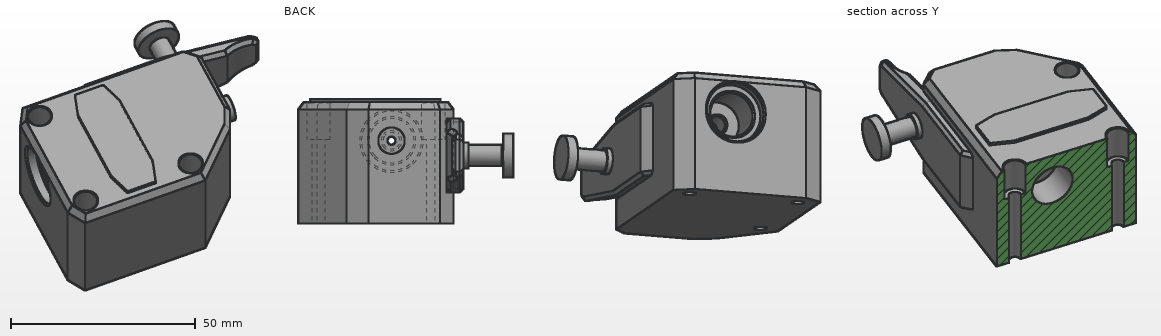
import cadquery as cq
import math


BEVEL_ANGLE = 45

body_width = 42.05
body_length = 54.05
body_height = 32.8
rim_inset = 1.5
rim_drop = 2.0
rear_left_bevel = 3.7
front_bevel_width = 5.1
front_bevel_length = 2.9
right_wall_end = 38.4
slant_rise = 13.1
rear_edge_end = 23.0

screw_margin = 5.5
screw_spacing = 31.0
screw_diameter = 3.5
screw_head_diameter = 6.25
screw_head_depth = 10.05
screw_head_bevel = 0.2

filament_x = 16.8
filament_z = 22.4
filament_diameter = 2.1
path_steps = [(16.15, 3.05), (12.1, 15.0), (4.5, 21.8)]
path_bevel = 0.5
outlet_diameter = 7.1
outlet_length = 2.9

plate_thickness = 0.8
plate_left = 3.5
plate_front = 14.9
plate_width = 35.3
plate_length = 12.3
plate_corner_width = 6.55
plate_corner_length = 2.0

lever_outer_x = -2.6
lever_inner_x = 2.0
lever_center_z = 18.4
lever_width = 20.1
lever_foot_y = 19.85
taper_start_y = 45.7
lever_tip_y = 72.75
lever_tip_width = 8.65
tip_corner = 1.45
taper_end_width = 11.6
outer_bevel = 1.0
inner_bevel = 1.2
grip_start_y = 62.6
grip_deepest_y = 69.1
grip_depth = 1.75

screw_axis_y = 49.0
screw_steps = [(7.1, -4.1), (5.8, -12.95), (3.2, -13.4), (12.0, -16.15)]


def make_housing():
    outline = [
        (front_bevel_width, 0),
        (body_width - front_bevel_width, 0),
        (body_width, front_bevel_length),
        (body_width, right_wall_end),
        (body_width - slant_rise, right_wall_end + slant_rise),
        (rear_edge_end, body_length),
        (rear_left_bevel, body_length),
        (0, body_length - rear_left_bevel),
        (0, front_bevel_length),
    ]
    block = cq.Workplane("XY").polyline(outline).close().extrude(body_height)
    return block.faces(">Z").chamfer(rim_drop, rim_inset)


def make_plate():
    right = plate_left + plate_width
    rear = plate_front + plate_length
    outline = [
        (plate_left + plate_corner_width, plate_front),
        (right - plate_corner_width, plate_front),
        (right, plate_front + plate_corner_length),
        (right, rear - plate_corner_length),
        (right - plate_corner_width, rear),
        (plate_left + plate_corner_width, rear),
        (plate_left, rear - plate_corner_length),
        (plate_left, plate_front + plate_corner_length),
    ]
    plane = cq.Workplane("XY").workplane(offset=body_height)
    return plane.polyline(outline).close().extrude(plate_thickness)


def cut_screw_holes(body):
    near = screw_margin
    far = screw_margin + screw_spacing
    mouth = screw_head_diameter + 2 * screw_head_bevel
    for x, y in [(near, near), (far, near), (far, far)]:
        top = cq.Workplane("XY", origin=(x, y, body_height))
        body = body.cut(top.circle(screw_diameter / 2).extrude(-body_height))
        body = body.cut(top.circle(screw_head_diameter / 2).extrude(-screw_head_depth))
        body = body.cut(top.circle(mouth / 2).extrude(-screw_head_bevel, taper=BEVEL_ANGLE))
    return body


def cut_filament_path(body):
    """Cut the stepped bore from the front, each step with a bevelled mouth, and the through hole."""
    start = 0
    for diameter, end in path_steps:
        front = cq.Workplane("XZ", origin=(filament_x, start, filament_z))
        body = body.cut(front.circle(diameter / 2).extrude(start - end))
        body = body.cut(front.circle(diameter / 2 + path_bevel).extrude(-path_bevel, taper=BEVEL_ANGLE))
        start = end
    front = cq.Workplane("XZ", origin=(filament_x, 0, filament_z))
    return body.cut(front.circle(filament_diameter / 2).extrude(-body_length - outlet_length))


def make_outlet():
    rear = cq.Workplane("XZ", origin=(filament_x, body_length, filament_z))
    return rear.circle(outlet_diameter / 2).extrude(-outlet_length)


def make_lever_pocket():
    """Open end of the lever pocket, cut into the rear left corner of the housing."""
    pocket = cq.Workplane("XY").box(
        lever_inner_x, body_length - taper_start_y, lever_width, centered=(False, False, True)
    )
    return pocket.translate((0, taper_start_y, lever_center_z))


def make_lever():
    half = lever_width / 2
    half_tip = lever_tip_width / 2
    half_taper_end = taper_end_width / 2
    corner_y = lever_tip_y - tip_corner
    foot_end_y = lever_foot_y - lever_inner_x
    thickness = lever_inner_x - lever_outer_x

    face = [
        (foot_end_y, -half),
        (taper_start_y, -half),
        (corner_y, -half_taper_end),
        (lever_tip_y, -half_tip),
        (lever_tip_y, half_tip),
        (corner_y, half_taper_end),
        (taper_start_y, half),
        (foot_end_y, half),
    ]
    plane = cq.Workplane("YZ", origin=(lever_outer_x, 0, lever_center_z))
    plate = plane.polyline(face).close().extrude(thickness)

    half_chord = grip_deepest_y - grip_start_y
    grip_radius = (half_chord**2 + grip_depth**2) / (2 * grip_depth)
    grip_center_x = lever_inner_x - grip_depth + grip_radius
    grip_end_x = grip_center_x - math.sqrt(grip_radius**2 - (lever_tip_y - grip_deepest_y) ** 2)
    profile = (
        cq.Workplane("XY", origin=(0, 0, lever_center_z))
        .moveTo(lever_inner_x, foot_end_y)
        .lineTo(lever_inner_x, grip_start_y)
        .threePointArc((lever_inner_x - grip_depth, grip_deepest_y), (grip_end_x, lever_tip_y))
        .lineTo(lever_outer_x, lever_tip_y)
        .lineTo(lever_outer_x, foot_end_y + thickness)
        .close()
        .extrude(half, both=True)
    )
    lever = plate.intersect(profile)

    outer_face = lever.faces("<X").edges("not <Y")
    foot_sides = lever.faces("<Y").edges("not |Z")
    lever = lever.newObject(outer_face.vals() + foot_sides.vals()).chamfer(outer_bevel)

    inner_edges = lever.faces(">X").edges("not |Z")
    grip_edges = lever.faces("%CYLINDER").edges("not(|Z and <Y)")
    return lever.newObject(inner_edges.vals() + grip_edges.vals()).chamfer(inner_bevel)


def make_tension_screw():
    screw = cq.Workplane("YZ")
    start = 0
    for diameter, end in screw_steps:
        step = cq.Workplane("YZ", origin=(start, screw_axis_y, lever_center_z))
        screw = screw.add(step.circle(diameter / 2).extrude(end - start))
        start = end
    return screw.combine()


housing = cut_screw_holes(make_housing()).cut(make_lever_pocket())
housing = housing.union(make_outlet()).union(make_plate())
housing = cut_filament_path(housing)
result = housing.union(make_lever()).union(make_tension_screw())